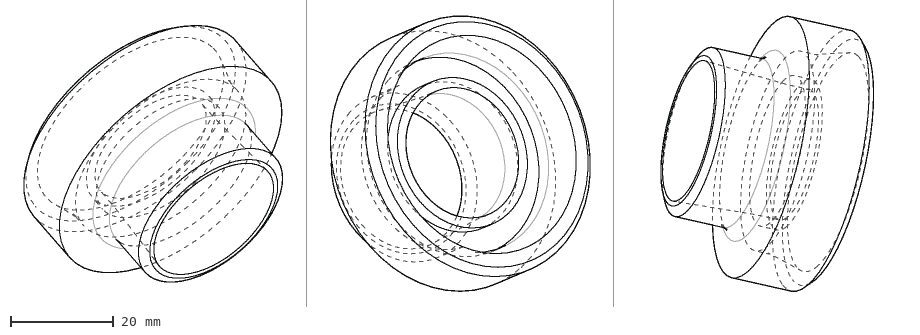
import cadquery as cq
import math

total_length = 29.0
flange_radius = 52 / 2
flange_rim_end = 14.0
flange_chamfer = 1.5
flange_back_angle = 10

hub_radius = 33.7 / 2
hub_fillet = 2.6
hub_bevel_length = 1.1
hub_bevel_angle = 60

seat_radius = 39.8 / 2
seat_depth = 7.0
seat_angle = 15
groove_depth = 10.5
boss_radius = 30.0 / 2
bore_radius = 26 / 2
bore_straight_end = 12.0
bore_exit_radius = 28.0 / 2

hub_root = flange_rim_end + (flange_radius - hub_radius) * math.tan(math.radians(flange_back_angle))
hub_bevel_height = hub_bevel_length * math.tan(math.radians(hub_bevel_angle))
seat_mouth_radius = seat_radius + seat_depth * math.tan(math.radians(seat_angle))


def revolve_about_x(points):
    """Turn a closed outline of (axial, radial) points about the X axis."""
    return cq.Workplane("XY").polyline(points).close().revolve(360, (0, 0, 0), (1, 0, 0))


def make_body():
    """Flange and hub, with a fillet where the sloped flange back meets the hub."""
    body = revolve_about_x([
        (0, 0),
        (0, flange_radius - flange_chamfer),
        (flange_chamfer, flange_radius),
        (flange_rim_end, flange_radius),
        (hub_root, hub_radius),
        (total_length - hub_bevel_length, hub_radius),
        (total_length, hub_radius - hub_bevel_height),
        (total_length, 0),
    ])
    tolerance = 0.05
    root_edge = cq.selectors.BoxSelector(
        (hub_root - tolerance, -flange_radius, -flange_radius),
        (hub_root + tolerance, flange_radius, flange_radius),
    )
    return body.edges(root_edge).fillet(hub_fillet)


def make_recess():
    """Conical seat in the flange face, with a deeper groove around the central boss."""
    return revolve_about_x([
        (0, 0),
        (0, seat_mouth_radius),
        (seat_depth, seat_radius),
        (groove_depth, seat_radius),
        (groove_depth, boss_radius),
        (seat_depth, boss_radius),
        (seat_depth, 0),
    ])


def make_bore():
    """Through bore, straight at the boss and widening gently towards the hub end."""
    return revolve_about_x([
        (0, 0),
        (0, bore_radius),
        (bore_straight_end, bore_radius),
        (total_length, bore_exit_radius),
        (total_length, 0),
    ])


result = make_body().cut(make_recess()).cut(make_bore())